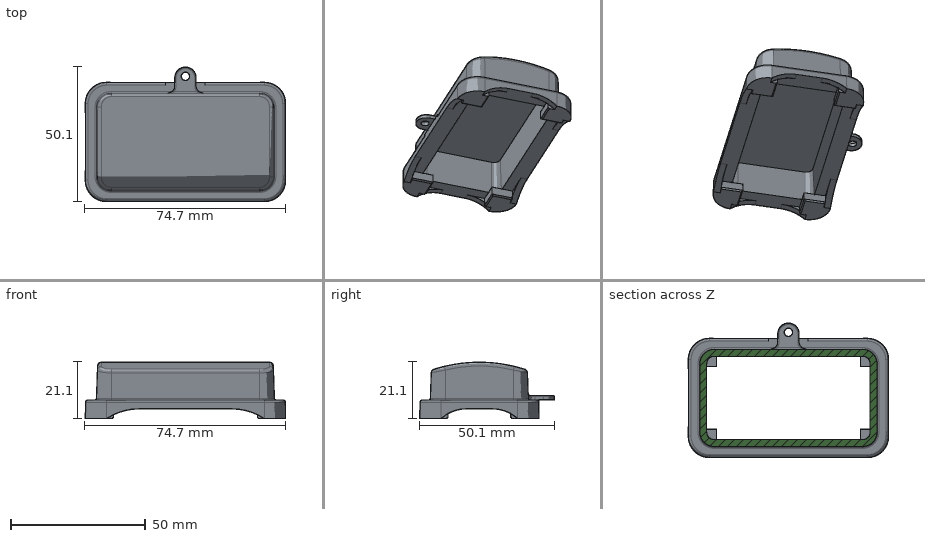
import cadquery as cq
import math

base_length = 74.7
base_width = 44.5
base_height = 7.0
base_corner_radius = 8.0
base_draft = 1.0
base_edge_radius = 1.0

hood_end_inset = 4.15
hood_side_inset = 3.95
hood_length = base_length - 2 * hood_end_inset
hood_width = base_width - 2 * hood_side_inset
hood_corner_radius = 5.6
hood_draft = 2.0
hood_edge_radius = 1.5
hood_foot_radius = 0.5
overall_height = 21.06
dome_radius = 55.0

skirt_thickness = 2.5
hood_wall = 2.5
hood_roof = 4.0
roof_underside = overall_height - hood_roof

arch_height = 3.6
long_arch_radius = 22.0
short_arch_radius = 14.0
long_arch_half_span = base_length / 2 - base_corner_radius
short_arch_half_span = base_width / 2 - base_corner_radius

post_reach = 10.6
post_chamfer = 0.5

tab_width = 8.0
tab_thickness = 1.7
tab_overhang = 5.65
tab_hole_diameter = 3.0
tab_hole_to_tip = 3.45
tab_edge_radius = 0.5
tab_flare_radius = 2.5
plain_rear_edge_length = 14.7


def rounded_block(length, width, height, corner_radius, draft=0.0):
    """Upright block with rounded corners, narrowing upward by the draft angle."""
    outline = cq.Sketch().rect(length, width).vertices().fillet(corner_radius)
    return cq.Workplane("XY").placeSketch(outline).extrude(height, taper=draft)


def make_base():
    """Base plate with a rounded top edge, left sharp behind the tab."""
    sharp = rounded_block(base_length, base_width, base_height, base_corner_radius, base_draft)
    rounded = sharp.faces(">Z").edges().fillet(base_edge_radius)
    rear_strip = cq.Workplane("XY").box(
        plain_rear_edge_length, hood_side_inset, base_height, centered=(True, False, False)
    ).translate((0, base_width / 2 - hood_side_inset, 0))
    return rounded.union(sharp.intersect(rear_strip))


def make_hood():
    """Drafted hood whose roof is a cylinder along X."""
    block = rounded_block(
        hood_length, hood_width, overall_height, hood_corner_radius, hood_draft
    ).translate((0, 0, base_height))
    dome = (
        cq.Workplane("YZ")
        .center(0, overall_height - dome_radius)
        .circle(dome_radius)
        .extrude(base_length / 2, both=True)
    )
    return block.intersect(dome).faces(">Z").edges().fillet(hood_edge_radius)


def join_hood_to_base():
    """Union of base and hood with a small fillet around the hood's foot."""
    margin = hood_foot_radius / 2
    foot = cq.selectors.BoxSelector(
        (-hood_length / 2 - margin, -hood_width / 2 - margin, base_height - margin),
        (hood_length / 2 + margin, hood_width / 2 + margin, base_height + margin),
        boundingbox=True,
    )
    return make_base().union(make_hood()).edges(foot).fillet(hood_foot_radius)


def make_tab():
    """Round-ended tab that flares out where it meets the hood."""
    tip = base_width / 2 + tab_overhang
    half_width = tab_width / 2
    round_start = tip - half_width
    root = hood_width / 2
    flare_end = root + tab_flare_radius
    flare_half_width = half_width + tab_flare_radius
    hidden_root = root - hood_wall / 2
    diagonal = tab_flare_radius * (1 - math.sqrt(0.5))
    tab = (
        cq.Workplane("XY")
        .workplane(offset=base_height)
        .moveTo(-half_width, round_start)
        .threePointArc((0, tip), (half_width, round_start))
        .lineTo(half_width, flare_end)
        .threePointArc((half_width + diagonal, root + diagonal), (flare_half_width, root))
        .lineTo(flare_half_width, hidden_root)
        .lineTo(-flare_half_width, hidden_root)
        .lineTo(-flare_half_width, root)
        .threePointArc((-half_width - diagonal, root + diagonal), (-half_width, flare_end))
        .close()
        .extrude(tab_thickness)
    )
    tab = tab.faces(">Z").edges("not <Y").fillet(tab_edge_radius)
    hole = (
        cq.Workplane("XY")
        .workplane(offset=base_height)
        .center(0, tip - tab_hole_to_tip)
        .circle(tab_hole_diameter / 2)
        .extrude(tab_thickness)
    )
    return tab.cut(hole)


def make_posts():
    """Four corner posts with chamfered lower inner edges."""
    block = rounded_block(base_length, base_width, arch_height, base_corner_radius, base_draft)
    gap_length = base_length - 2 * post_reach
    gap_width = base_width - 2 * post_reach
    for length, width in ((gap_length, base_width), (base_length, gap_width)):
        block = block.cut(cq.Workplane("XY").box(length, width, 2 * arch_height))
    inner = cq.selectors.BoxSelector(
        (-base_length / 2 + post_chamfer, -base_width / 2 + post_chamfer, -post_chamfer),
        (base_length / 2 - post_chamfer, base_width / 2 - post_chamfer, post_chamfer),
    )
    inner_edges = block.faces("<Z").edges("|X or |Y").edges(inner)
    return inner_edges.chamfer(post_chamfer)


def make_cavity():
    """Shallow recess inside the skirt leading into the space under the hood."""
    recess = rounded_block(
        base_length - 2 * skirt_thickness,
        base_width - 2 * skirt_thickness,
        arch_height,
        base_corner_radius - skirt_thickness,
    )
    hood_space = rounded_block(
        hood_length - 2 * hood_wall,
        hood_width - 2 * hood_wall,
        roof_underside,
        hood_corner_radius - hood_wall,
        hood_draft,
    )
    posts = make_posts()
    return recess.cut(posts).union(hood_space.cut(posts))


def arch_profile(plane, half_span, radius):
    """Flat-topped arch whose ends curve down to the bottom plane."""
    end_run = math.sqrt(radius**2 - (radius - arch_height) ** 2)
    flat_half = half_span - end_run
    mid_angle = math.asin(end_run / radius) / 2
    mid_x = flat_half + radius * math.sin(mid_angle)
    mid_z = arch_height - radius * (1 - math.cos(mid_angle))
    return (
        cq.Workplane(plane)
        .moveTo(-half_span, 0)
        .threePointArc((-mid_x, mid_z), (-flat_half, arch_height))
        .lineTo(flat_half, arch_height)
        .threePointArc((mid_x, mid_z), (half_span, 0))
        .close()
    )


def make_arches():
    """Arched cutters that pass through the four skirt walls only."""
    along_y = arch_profile("XZ", long_arch_half_span, long_arch_radius).extrude(base_width, both=True)
    along_x = arch_profile("YZ", short_arch_half_span, short_arch_radius).extrude(base_length, both=True)
    inside = cq.Workplane("XY").box(
        base_length - 2 * skirt_thickness, base_width - 2 * skirt_thickness, 2 * base_height
    )
    return along_y.union(along_x).cut(inside)


def join_tab_to_hood():
    """Body with the tab attached and a small fillet where the tab's top meets the hood."""
    tab_top = base_height + tab_thickness
    margin = hood_foot_radius / 2
    seam = cq.selectors.BoxSelector(
        (-tab_width, hood_width / 2 - hood_foot_radius, tab_top - margin),
        (tab_width, hood_width / 2, tab_top + margin),
        boundingbox=True,
    )
    return join_hood_to_base().union(make_tab()).edges(seam).fillet(hood_foot_radius)


result = join_tab_to_hood().cut(make_cavity()).cut(make_arches())